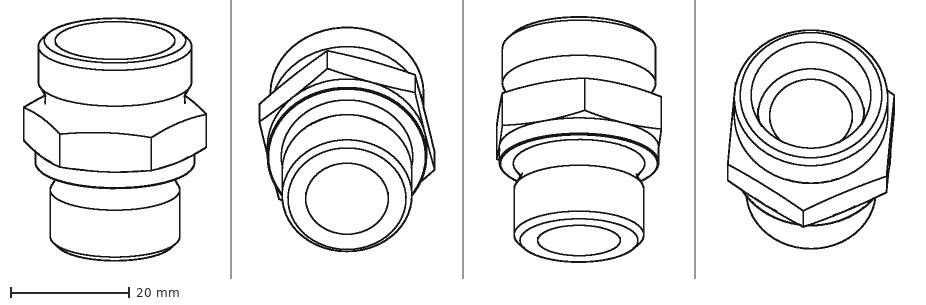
import math

import cadquery as cq

total_height = 36.0

across_flats = 27.0
hex_bottom = 17.0
hex_top = 24.0
hex_chamfer_angle = math.radians(15)
collar_bottom = 14.0
collar_radius = across_flats / 2
collar_chamfer = 0.2

stud_radius = 11.0
stud_chamfer = 1.0
stud_shoulder = 9.37
stud_groove_radius = 9.82
stud_groove_fillet = 1.2

upper_radius = 13.0
upper_chamfer = 1.0
upper_groove_radius = 23.7 / 2
upper_groove_fillet = 1.0
upper_shoulder = 28.6

flank_angle = math.radians(30)
collar_flank_angle = math.radians(35)
quarter_turn = math.radians(90)

bore_radius = 7.0
socket_radius = 9.0
socket_mouth_radius = 10.15
socket_cone_angle = math.radians(12)
socket_depth = 7.5


def arc_offset(radius, angle):
    """Radial rise and axial run of an arc that starts parallel to the axis and turns by angle."""
    return radius * (1 - math.cos(angle)), radius * math.sin(angle)


def make_body():
    """Revolved outside of the fitting, without the hexagon."""
    lower_rise, lower_run = arc_offset(stud_groove_fillet, flank_angle)
    collar_rise, collar_run = arc_offset(stud_groove_fillet, collar_flank_angle)
    lower_edge_radius = stud_groove_radius + lower_rise
    lower_edge_z = stud_shoulder + (stud_radius - lower_edge_radius) / math.tan(flank_angle)
    root_z = lower_edge_z + lower_run
    collar_edge_radius = stud_groove_radius + collar_rise
    collar_edge_z = root_z + collar_run
    collar_flank_radius = collar_edge_radius + (collar_bottom - collar_edge_z) * math.tan(collar_flank_angle)

    top_rise, top_run = arc_offset(upper_groove_fillet, flank_angle)
    half_rise, half_run = arc_offset(upper_groove_fillet, flank_angle / 2)
    quarter_rise, quarter_run = arc_offset(upper_groove_fillet, quarter_turn / 2)
    flank_base_radius = upper_groove_radius + top_rise
    flank_base_z = upper_shoulder - (upper_radius - flank_base_radius) / math.tan(flank_angle)
    cylinder_top = flank_base_z - top_run
    cylinder_bottom = hex_top + upper_groove_fillet

    profile = (
        cq.Workplane("XZ")
        .lineTo(stud_radius - stud_chamfer, 0)
        .lineTo(stud_radius, stud_chamfer)
        .lineTo(stud_radius, stud_shoulder)
        .lineTo(lower_edge_radius, lower_edge_z)
        .threePointArc((stud_groove_radius, root_z), (collar_edge_radius, collar_edge_z))
        .lineTo(collar_flank_radius, collar_bottom)
        .lineTo(collar_radius - collar_chamfer, collar_bottom)
        .lineTo(collar_radius, collar_bottom + collar_chamfer)
        .lineTo(collar_radius, hex_top)
        .lineTo(upper_groove_radius + upper_groove_fillet, hex_top)
        .threePointArc(
            (upper_groove_radius + quarter_rise, cylinder_bottom - quarter_run),
            (upper_groove_radius, cylinder_bottom),
        )
        .lineTo(upper_groove_radius, cylinder_top)
        .threePointArc(
            (upper_groove_radius + half_rise, cylinder_top + half_run),
            (flank_base_radius, flank_base_z),
        )
        .lineTo(upper_radius, upper_shoulder)
        .lineTo(upper_radius, total_height - upper_chamfer)
        .lineTo(upper_radius - upper_chamfer, total_height)
        .lineTo(0, total_height)
        .close()
    )
    return profile.revolve(360, (0, 0), (0, 1))


def make_hexagon():
    """Hexagon with two flats facing X, its corners bevelled on both ends."""
    sides = 6
    half_sector = 180 / sides
    corner_radius = across_flats / 2 / math.cos(math.radians(half_sector))
    prism = (
        cq.Workplane("XY", origin=(0, 0, hex_bottom))
        .polygon(sides, 2 * corner_radius)
        .extrude(hex_top - hex_bottom)
        .rotate((0, 0, 0), (0, 0, 1), half_sector)
    )
    corner_clearance = 1.0
    outer_radius = corner_radius + corner_clearance
    bevel_drop = (outer_radius - collar_radius) * math.tan(hex_chamfer_angle)
    envelope = (
        cq.Workplane("XZ")
        .moveTo(0, hex_bottom)
        .lineTo(collar_radius, hex_bottom)
        .lineTo(outer_radius, hex_bottom + bevel_drop)
        .lineTo(outer_radius, hex_top - bevel_drop)
        .lineTo(collar_radius, hex_top)
        .lineTo(0, hex_top)
        .close()
        .revolve(360, (0, 0), (0, 1))
    )
    return prism.intersect(envelope)


def make_bore():
    """Through bore opening into a socket with a conical mouth at the top."""
    cone_depth = (socket_mouth_radius - socket_radius) / math.tan(socket_cone_angle)
    return (
        cq.Workplane("XZ")
        .lineTo(bore_radius, 0)
        .lineTo(bore_radius, total_height - socket_depth)
        .lineTo(socket_radius, total_height - socket_depth)
        .lineTo(socket_radius, total_height - cone_depth)
        .lineTo(socket_mouth_radius, total_height)
        .lineTo(0, total_height)
        .close()
        .revolve(360, (0, 0), (0, 1))
    )


result = make_body().union(make_hexagon()).cut(make_bore())